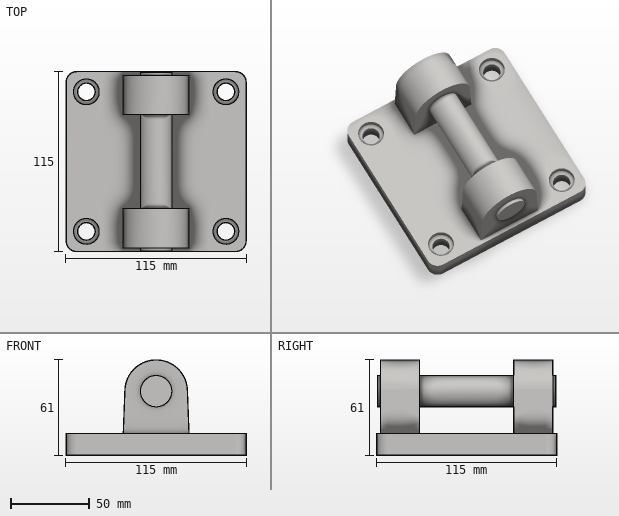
import cadquery as cq
import math

plate_side = 115.0
plate_thickness = 14.0
corner_radius = 7.0

hole_spacing = 89.0
hole_diameter = 11.0
counterbore_diameter = 16.5
counterbore_depth = 4.0

total_height = 61.0
lug_top_radius = 20.0
lug_base_width = 42.1
lug_thickness = 25.0
lug_gap = 60.0
pin_diameter = 20.0
pin_length = 114.0

pin_height = total_height - lug_top_radius


def make_plate():
    plate = (
        cq.Workplane("XY")
        .rect(plate_side, plate_side)
        .extrude(plate_thickness)
        .edges("|Z")
        .fillet(corner_radius)
    )
    return (
        plate.faces(">Z")
        .workplane()
        .rect(hole_spacing, hole_spacing, forConstruction=True)
        .vertices()
        .cboreHole(hole_diameter, counterbore_diameter, counterbore_depth)
    )


def make_lug(back_y):
    """Lug with tapered flanks tangent to its round top, running from back_y toward -Y."""
    half_base = lug_base_width / 2
    drop = pin_height - plate_thickness
    tangent_angle = math.acos(lug_top_radius / math.hypot(half_base, drop)) - math.atan2(drop, half_base)
    tangent_x = lug_top_radius * math.cos(tangent_angle)
    tangent_z = pin_height + lug_top_radius * math.sin(tangent_angle)
    return (
        cq.Workplane("XZ", origin=(0, back_y, 0))
        .moveTo(-half_base, plate_thickness)
        .lineTo(half_base, plate_thickness)
        .lineTo(tangent_x, tangent_z)
        .threePointArc((0, total_height), (-tangent_x, tangent_z))
        .close()
        .extrude(lug_thickness)
    )


def make_pin():
    return (
        cq.Workplane("XZ", origin=(0, 0, pin_height))
        .circle(pin_diameter / 2)
        .extrude(pin_length / 2, both=True)
    )


result = make_plate()
for back_y in (-lug_gap / 2, lug_gap / 2 + lug_thickness):
    result = result.union(make_lug(back_y))
result = result.union(make_pin())